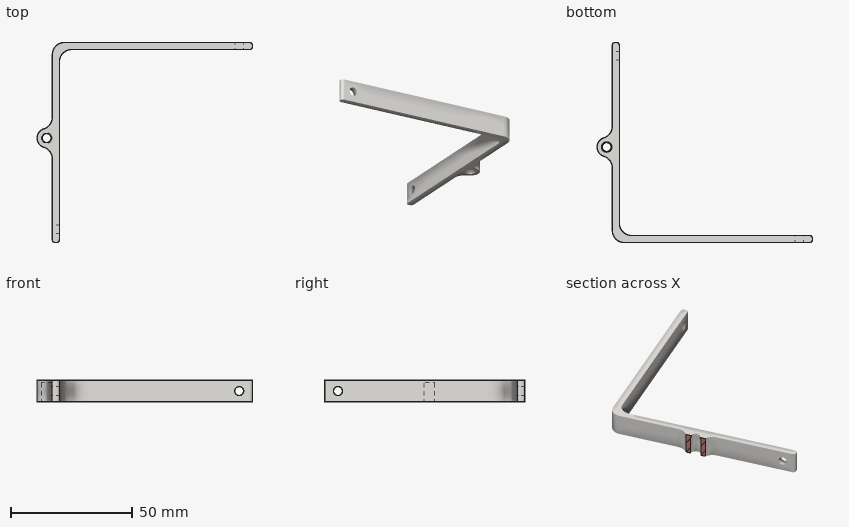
import cadquery as cq
import math

arm_length = 82.5
arm_thickness = 3.0
height = 9.0
corner_radius = 5.0
end_radius = 1.2

screw_diameter = 3.6
screw_from_end = 5.5

boss_radius = 4.0
boss_overhang = 6.29
boss_x = boss_radius - boss_overhang
boss_y = -39.4
blend_radius = 5.0

boss_hole_diameter = 3.6
boss_bore_diameter = 4.3
boss_lip = 1.0


def make_bracket():
    """L-shaped strip with rounded corner and rounded arm ends."""
    bracket = (
        cq.Workplane("XY")
        .polyline([
            (0, 0),
            (arm_length, 0),
            (arm_length, -arm_thickness),
            (arm_thickness, -arm_thickness),
            (arm_thickness, -arm_length),
            (0, -arm_length),
        ])
        .close()
        .extrude(height)
    )
    bracket = bracket.edges("|Z and (>X or <Y)").fillet(end_radius)
    outer_corner = cq.selectors.NearestToPointSelector((0, 0, height / 2))
    inner_corner = cq.selectors.NearestToPointSelector((arm_thickness, -arm_thickness, height / 2))
    return bracket.edges(outer_corner + inner_corner).fillet(corner_radius)


def make_boss():
    """Round boss blended into the outer face of the Y arm by concave arcs."""
    blend_x = -blend_radius
    centre_distance = boss_radius + blend_radius
    blend_dy = math.sqrt(centre_distance ** 2 - (blend_x - boss_x) ** 2)

    touch_x = boss_x + (blend_x - boss_x) * boss_radius / centre_distance
    touch_dy = blend_dy * boss_radius / centre_distance

    touch_angle = math.atan2(touch_dy - blend_dy, touch_x - blend_x)
    middle_x = blend_x + blend_radius * math.cos(touch_angle / 2)
    middle_dy = blend_dy + blend_radius * math.sin(touch_angle / 2)

    root_x = arm_thickness / 2
    return (
        cq.Workplane("XY")
        .moveTo(root_x, boss_y + blend_dy)
        .lineTo(0, boss_y + blend_dy)
        .threePointArc((middle_x, boss_y + middle_dy), (touch_x, boss_y + touch_dy))
        .threePointArc((-boss_overhang, boss_y), (touch_x, boss_y - touch_dy))
        .threePointArc((middle_x, boss_y - middle_dy), (0, boss_y - blend_dy))
        .lineTo(root_x, boss_y - blend_dy)
        .close()
        .extrude(height)
    )


def drill(start, direction, diameter, depth):
    """Cylinder used to cut a hole from start along direction."""
    cylinder = cq.Solid.makeCylinder(diameter / 2, depth, cq.Vector(*start), cq.Vector(*direction))
    return cq.Workplane(cylinder)


def cut_screw_holes(body):
    """One hole across each arm, at mid height near its free end."""
    along_arm = arm_length - screw_from_end
    mid_height = height / 2
    x_arm_hole = drill((along_arm, 0, mid_height), (0, -1, 0), screw_diameter, arm_thickness)
    y_arm_hole = drill((0, -along_arm, mid_height), (1, 0, 0), screw_diameter, arm_thickness)
    return body.cut(x_arm_hole).cut(y_arm_hole)


def cut_boss_hole(body):
    """Through hole in the boss, widened from below up to the lip."""
    start = (boss_x, boss_y, 0)
    hole = drill(start, (0, 0, 1), boss_hole_diameter, height)
    bore = drill(start, (0, 0, 1), boss_bore_diameter, height - boss_lip)
    return body.cut(hole).cut(bore)


result = cut_boss_hole(cut_screw_holes(make_bracket().union(make_boss())))